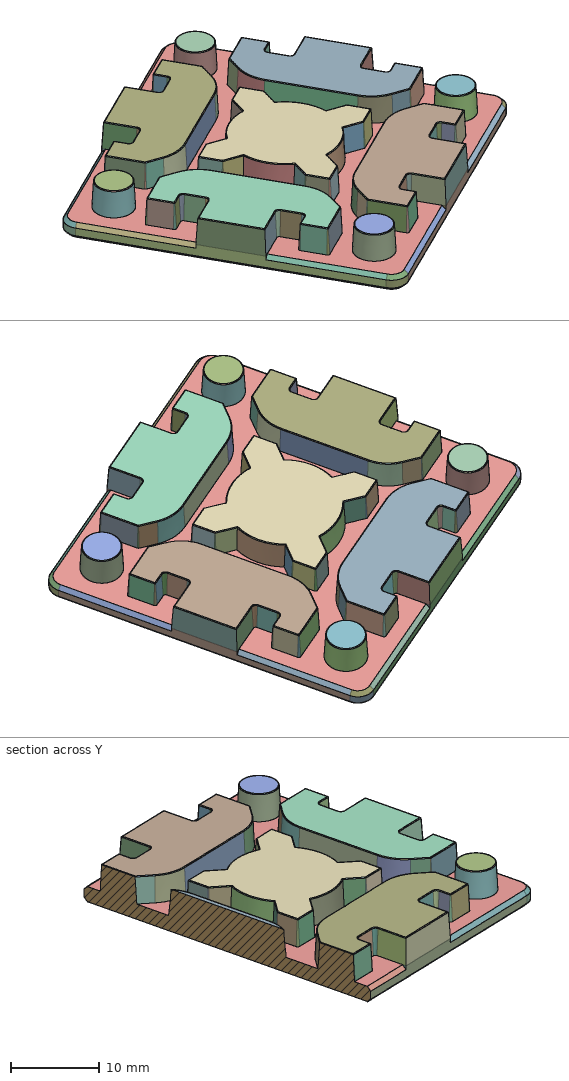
import cadquery as cq
import math

side = 41.0
half_side = side / 2
plate_thickness = 2.0
plate_corner_radius = 2.0
plate_chamfer = 0.5

total_height = 5.5
draft_angle = 3.0
bevel = 0.1
bevel_angle = 45
wall_height = total_height - bevel - plate_thickness
spread = bevel * math.tan(math.radians(bevel_angle)) + wall_height * math.tan(math.radians(draft_angle))

peg_radius = 2.2
peg_offset = 15.5

stem_half_width = 3.9
stem_overrun = 0.8
hook_half_gap = 7.55
key_half_width = 10.7
pocket_distance = 15.8
hook_tip_distance = 17.9
shoulder_distance = 13.25
key_inner_distance = 10.15
flank_angle = 45
key_blend_radius = 5.0
pocket_fillet = 0.57

star_half_width = 7.75
star_disc_radius = 6.6
arm_half_width = 1.95


def make_plate():
    return (
        cq.Workplane("XY")
        .rect(side, side)
        .extrude(plate_thickness)
        .edges("|Z")
        .fillet(plate_corner_radius)
        .faces("<Z or >Z")
        .edges()
        .chamfer(plate_chamfer)
    )


def raise_outline(draw_outline):
    """Drafted body that widens down to the plate, with a bevel around its top."""
    top_plane = cq.Workplane("XY").workplane(offset=total_height)
    cap = draw_outline(top_plane).extrude(-bevel, taper=-bevel_angle)
    cap_bottom = cap.faces("<Z").wires().toPending().workplane()
    walls = cap_bottom.extrude(wall_height, combine=False, taper=-draft_angle)
    return walls.union(cap)


def peg_outline(plane):
    return plane.circle(peg_radius)


def star_outline(plane):
    arm_spread = math.degrees(math.asin(arm_half_width / star_disc_radius))
    arm_shoulder = star_half_width - arm_half_width * math.sqrt(2)

    def on_disc(angle):
        radians = math.radians(angle)
        return (star_disc_radius * math.cos(radians), star_disc_radius * math.sin(radians))

    def turned(x, y, angle):
        cosine = math.cos(math.radians(angle))
        sine = math.sin(math.radians(angle))
        return (x * cosine - y * sine, x * sine + y * cosine)

    outline = plane.moveTo(*on_disc(45 - arm_spread))
    for turn in (0, 90, 180, 270):
        outline = (
            outline
            .lineTo(*turned(star_half_width, arm_shoulder, turn))
            .lineTo(*turned(star_half_width, star_half_width, turn))
            .lineTo(*turned(arm_shoulder, star_half_width, turn))
            .lineTo(*on_disc(turn + 45 + arm_spread))
            .threePointArc(on_disc(turn + 90), on_disc(turn + 135 - arm_spread))
        )
    return outline.close()


def key_outline(plane):
    """Key on the +Y side; its stem runs past the plate's edge and is trimmed later."""
    flank_slope = math.tan(math.radians(flank_angle))
    flank_corner = key_half_width - (shoulder_distance - key_inner_distance) / flank_slope
    blend_length = key_blend_radius * math.tan(math.radians(flank_angle / 2))
    blend_start = (
        flank_corner + blend_length * math.cos(math.radians(flank_angle)),
        key_inner_distance + blend_length * math.sin(math.radians(flank_angle)),
    )
    fillet_start = pocket_distance + pocket_fillet
    stem_end = half_side + stem_overrun

    return (
        plane.moveTo(0, stem_end)
        .lineTo(stem_half_width, stem_end)
        .lineTo(stem_half_width, fillet_start)
        .tangentArcPoint((stem_half_width + pocket_fillet, pocket_distance), relative=False)
        .lineTo(hook_half_gap - pocket_fillet, pocket_distance)
        .tangentArcPoint((hook_half_gap, fillet_start), relative=False)
        .lineTo(hook_half_gap, hook_tip_distance)
        .lineTo(key_half_width, hook_tip_distance)
        .lineTo(key_half_width, shoulder_distance)
        .lineTo(*blend_start)
        .tangentArcPoint((flank_corner - blend_length, key_inner_distance), relative=False)
        .lineTo(0, key_inner_distance)
        .mirrorY()
    )


def make_key():
    trim_width = side - 2 * spread
    trim = raise_outline(lambda plane: plane.rect(trim_width, trim_width))
    key = raise_outline(key_outline).intersect(trim)

    foot_width = 2 * (stem_half_width + spread)
    foot_length = half_side - pocket_distance
    foot = (
        cq.Workplane("XY")
        .workplane(offset=plate_chamfer)
        .center(0, half_side - foot_length / 2)
        .rect(foot_width, foot_length)
        .extrude(plate_thickness - plate_chamfer)
    )
    return key.union(foot)


result = make_plate().union(raise_outline(star_outline))

peg = raise_outline(peg_outline)
for x_sign in (-1, 1):
    for y_sign in (-1, 1):
        result = result.union(peg.translate((x_sign * peg_offset, y_sign * peg_offset, 0)))

key = make_key()
for angle in (0, 90, 180, 270):
    result = result.union(key.rotate((0, 0, 0), (0, 0, 1), angle))